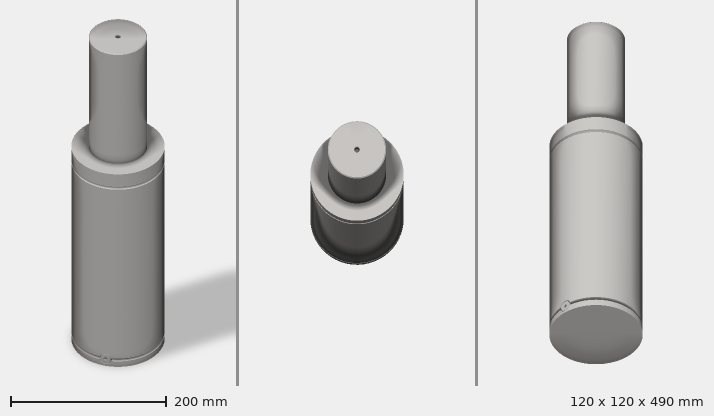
import cadquery as cq

total_height = 490.0
body_diameter = 120.0
body_height = 312.0
rod_diameter = 75.0
rod_chamfer = 1.5

base_groove_bottom = 9.0
base_groove_width = 4.5
base_groove_depth = 4.5

top_groove_offset = 22.5
top_groove_radius = 2.2

rod_hole_diameter = 7.0
rod_hole_mouth_diameter = 8.5
rod_hole_depth = 14.5

port_diameter = 16.0
port_depth = 10.0
plug_diameter = 14.0
plug_recess = 0.5
socket_diameter = 5.0
socket_depth = 4.0

body_radius = body_diameter / 2
port_height = base_groove_bottom + base_groove_width / 2


def make_body_and_rod():
    body = cq.Workplane("XY").circle(body_radius).extrude(body_height)
    rod = (
        cq.Workplane("XY")
        .circle(rod_diameter / 2)
        .extrude(total_height)
        .faces(">Z")
        .chamfer(rod_chamfer)
    )
    return body.union(rod)


def make_base_groove():
    return (
        cq.Workplane("XY")
        .workplane(offset=base_groove_bottom)
        .circle(body_radius + base_groove_depth)
        .circle(body_radius - base_groove_depth)
        .extrude(base_groove_width)
    )


def make_top_groove():
    groove_height = body_height - top_groove_offset
    return cq.Workplane("XY").add(
        cq.Solid.makeTorus(body_radius, top_groove_radius, cq.Vector(0, 0, groove_height))
    )


def make_rod_hole():
    hole_radius = rod_hole_diameter / 2
    mouth_radius = rod_hole_mouth_diameter / 2
    mouth_depth = mouth_radius - hole_radius
    profile = [
        (0, total_height),
        (mouth_radius, total_height),
        (hole_radius, total_height - mouth_depth),
        (hole_radius, total_height - rod_hole_depth),
        (0, total_height - rod_hole_depth),
    ]
    return cq.Workplane("XZ").polyline(profile).close().revolve(360, (0, 0), (0, 1))


def port_cylinder(diameter, start_depth, end_depth):
    """Cylinder along Y between two depths below the -Y side of the body."""
    return (
        cq.Workplane("XZ", origin=(0, start_depth - body_radius, port_height))
        .circle(diameter / 2)
        .extrude(start_depth - end_depth)
    )


def add_port(part):
    bore = port_cylinder(port_diameter, 0, port_depth)
    plug = port_cylinder(plug_diameter, plug_recess, port_depth)
    socket = port_cylinder(socket_diameter, plug_recess, plug_recess + socket_depth)
    return part.cut(bore).union(plug).cut(socket)


cylinder = make_body_and_rod()
cylinder = cylinder.cut(make_base_groove()).cut(make_top_groove()).cut(make_rod_hole())
result = add_port(cylinder)